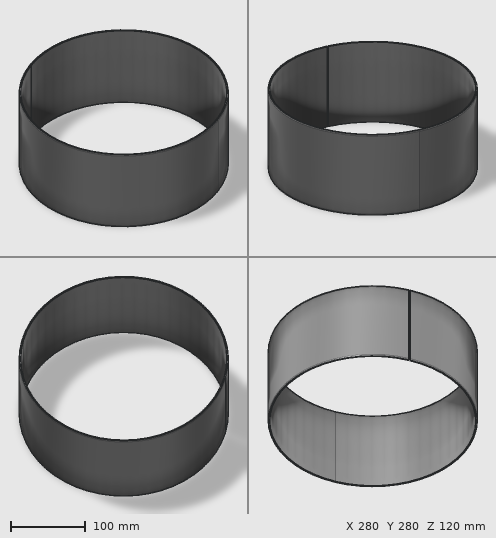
import cadquery as cq

outer_diameter = 280.0
height = 120.0
wall_thickness = 2.5
outer_bevel_height = 2.0
outer_bevel_depth = 0.5
inner_bevel = 0.42
slit_width = 2.2

outer_radius = outer_diameter / 2
inner_radius = outer_radius - wall_thickness
half_height = height / 2


def beveled_band():
    """Thin ring with a steep outer bevel and a small inner one at both rims."""
    rim_outer = outer_radius - outer_bevel_depth
    rim_inner = inner_radius + inner_bevel
    outer_bevel_start = half_height - outer_bevel_height
    inner_bevel_start = half_height - inner_bevel
    wall_profile = [
        (rim_inner, -half_height),
        (rim_outer, -half_height),
        (outer_radius, -outer_bevel_start),
        (outer_radius, outer_bevel_start),
        (rim_outer, half_height),
        (rim_inner, half_height),
        (inner_radius, inner_bevel_start),
        (inner_radius, -inner_bevel_start),
    ]
    return cq.Workplane("XZ").polyline(wall_profile).close().revolve(360, (0, 0, 0), (0, 1, 0))


def slit_cutter():
    """Full-height block that splits the wall on the -X side, from Y = 0 toward +Y."""
    block = cq.Workplane("XY").box(outer_radius, slit_width, height)
    return block.translate((-outer_radius, slit_width / 2, 0))


result = beveled_band().cut(slit_cutter())